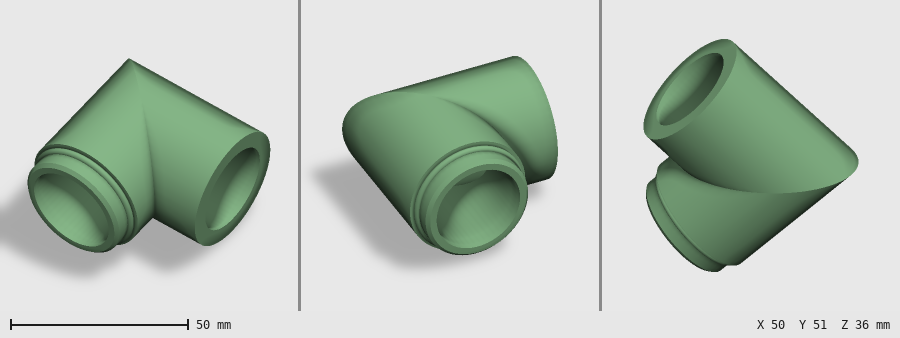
import cadquery as cq

outer_diameter = 36.0
bore_diameter = 26
outer_radius = outer_diameter / 2
length_x = 50
length_y = 51

spigot_diameter = 32.0
spigot_length = 7.0
tip_diameter = 30.0
tip_chamfer_length = 1
ring_thickness = 2.0
ring_outer_diameter = 34.15

socket_end_x = length_x - outer_radius
spigot_end_y = outer_radius - length_y
shoulder_y = spigot_end_y + spigot_length


def mitred_elbow(diameter, end_x, end_y):
    """Two round legs, along +X and -Y, joined on the diagonal plane."""
    radius = diameter / 2
    leg_x = cq.Workplane("YZ", origin=(-radius, 0, 0)).circle(radius).extrude(end_x + radius)
    leg_y = cq.Workplane("XZ", origin=(0, radius, 0)).circle(radius).extrude(radius - end_y)
    x_side = (
        cq.Workplane("XY")
        .polyline([(-radius, radius), (end_x, radius), (end_x, -end_x)])
        .close()
        .extrude(radius, both=True)
    )
    y_side = (
        cq.Workplane("XY")
        .polyline([(-radius, radius), (-radius, end_y), (-end_y, end_y)])
        .close()
        .extrude(radius, both=True)
    )
    return leg_x.intersect(x_side).union(leg_y.intersect(y_side))


def spigot():
    """Round spigot with a tapered tip, turned about the Y axis."""
    tip_radius = tip_diameter / 2
    spigot_radius = spigot_diameter / 2
    profile = [
        (0, 0),
        (spigot_radius, 0),
        (spigot_radius, spigot_end_y + tip_chamfer_length),
        (tip_radius, spigot_end_y),
        (0, spigot_end_y),
    ]
    return cq.Workplane("XY").polyline(profile).close().revolve(360, (0, 0), (0, 1))


def sealing_ring():
    """Round-section ring sunk part way into the spigot, touching the shoulder."""
    ring_radius = ring_thickness / 2
    centre_radius = ring_outer_diameter / 2 - ring_radius
    return (
        cq.Workplane("XY")
        .center(centre_radius, shoulder_y - ring_radius)
        .circle(ring_radius)
        .revolve(360, (-centre_radius, 0), (-centre_radius, 1))
    )


body = mitred_elbow(outer_diameter, socket_end_x, shoulder_y)
bore = mitred_elbow(bore_diameter, socket_end_x, spigot_end_y)
result = body.union(spigot()).union(sealing_ring()).cut(bore)